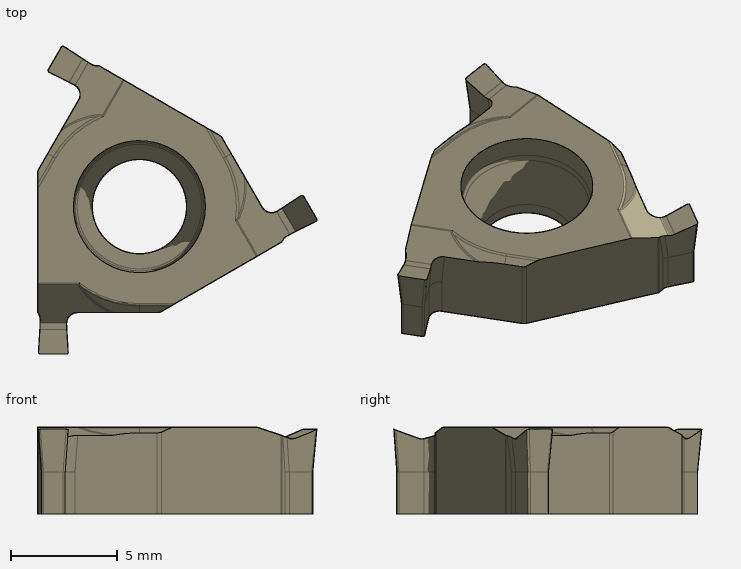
import cadquery as cq
import math

THICKNESS = 4.07
INDEX_COUNT = 3
INDEX_ANGLE = 360 / INDEX_COUNT
TOP_EDGE_ROUND = 0.2

SEAT_FLAT_DISTANCE = 9.525 / 2
FLANK_FLAT_DISTANCE = 4.957
BODY_CORNER_RADIUS = 0.4
SHOULDER_Y = -4.93
SHOULDER_ANGLE = 30
SHOULDER_LENGTH = 0.8
SHOULDER_CORNER_RADIUS = 0.1

TOOTH_LEFT = -4.73
TOOTH_RIGHT = -3.32
TOOTH_TIP_Y = -6.895
TOOTH_ROOT_Y = -4.5
TOOTH_TIP_Z = 3.97
RELIEF_HEIGHT = 2.0
RELIEF_BASE_Z = TOOTH_TIP_Z - RELIEF_HEIGHT
SIDE_RELIEF_ANGLE = 4
FRONT_RELIEF_ANGLE = 4
SIDE_TAPER_ANGLE = 2
TOOTH_CORNER_RADIUS = 0.1
TOOTH_ROOT_FILLET = 0.5

GROOVE_START_Y = -3.6
GROOVE_FALL_ANGLE = 16
GROOVE_RISE_ANGLE = 20
GROOVE_FILLET = 0.5
GROOVE_END_X = 2.0

WALL_RADIUS = 4.6
WALL_SLOPE_ANGLE = 37
WALL_DEPTH = 1.0

HOLE_RADIUS = 4.4 / 2
RECESS_RADIUS = 3.085
FLARE_BASE_Z = 0.57
FLARE_RADIUS = 3.83
FLARE_SWEEP_ANGLE = 37.5
SEAT_FILLET = 0.5

CLEARANCE = 1.0
EDGE_REACH = 0.25


def tan_deg(angle):
    return math.tan(math.radians(angle))


def polar(distance, angle):
    return (distance * math.cos(math.radians(angle)), distance * math.sin(math.radians(angle)))


def turned(point, angle):
    c, s = polar(1, angle)
    return (point[0] * c - point[1] * s, point[0] * s + point[1] * c)


def indexed(shape):
    """Copies of a shape at every index position around the Z axis."""
    return [shape.rotate((0, 0, 0), (0, 0, 1), i * INDEX_ANGLE) for i in range(INDEX_COUNT)]


def on_edge(x, y):
    """Selector for edges whose centre lies close to the vertical line at (x, y)."""
    return cq.selectors.BoxSelector(
        (x - EDGE_REACH, y - EDGE_REACH, -CLEARANCE),
        (x + EDGE_REACH, y + EDGE_REACH, THICKNESS + CLEARANCE),
    )


SHOULDER_START = (-SEAT_FLAT_DISTANCE, SHOULDER_Y)
SHOULDER_END = (
    SHOULDER_START[0] + SHOULDER_LENGTH * math.sin(math.radians(SHOULDER_ANGLE)),
    SHOULDER_START[1] - SHOULDER_LENGTH * math.cos(math.radians(SHOULDER_ANGLE)),
)
BODY_CORNER = (
    (SEAT_FLAT_DISTANCE - FLANK_FLAT_DISTANCE * math.cos(math.radians(30))) / math.cos(math.radians(60)),
    -FLANK_FLAT_DISTANCE,
)


def body():
    """Body slab with its tooth shoulders and rounded corners."""
    sector = [SHOULDER_START, SHOULDER_END, (SHOULDER_END[0], -FLANK_FLAT_DISTANCE), BODY_CORNER]
    outline = [turned(p, i * INDEX_ANGLE) for i in range(INDEX_COUNT) for p in sector]
    slab = cq.Workplane("XY").polyline(outline).close().extrude(THICKNESS)
    for i in range(INDEX_COUNT):
        corner = turned(BODY_CORNER, i * INDEX_ANGLE)
        shoulder = turned(SHOULDER_START, i * INDEX_ANGLE)
        slab = slab.edges("|Z").edges(on_edge(*corner)).fillet(BODY_CORNER_RADIUS)
        slab = slab.edges("|Z").edges(on_edge(*shoulder)).fillet(SHOULDER_CORNER_RADIUS)
    return slab


def tooth_outline(z):
    """Plan outline of the tooth at a height within the relief."""
    drop = TOOTH_TIP_Z - z
    side_inset = drop * tan_deg(SIDE_RELIEF_ANGLE)
    root_inset = side_inset + (TOOTH_ROOT_Y - TOOTH_TIP_Y) * tan_deg(SIDE_TAPER_ANGLE)
    tip_inset = side_inset + drop * tan_deg(FRONT_RELIEF_ANGLE) * tan_deg(SIDE_TAPER_ANGLE)
    tip_y = TOOTH_TIP_Y + drop * tan_deg(FRONT_RELIEF_ANGLE)
    return [
        (TOOTH_LEFT + root_inset, TOOTH_ROOT_Y),
        (TOOTH_LEFT + tip_inset, tip_y),
        (TOOTH_RIGHT - tip_inset, tip_y),
        (TOOTH_RIGHT - root_inset, TOOTH_ROOT_Y),
    ]


LEFT_ROOT = (-4.56, -5.24)
RIGHT_ROOT = (-3.5, -FLANK_FLAT_DISTANCE)


def tooth():
    """Tooth with straight lower sides, relieved upper sides and two rounded tip corners."""
    base_outline = tooth_outline(RELIEF_BASE_Z)
    lower = cq.Workplane("XY").polyline(base_outline).close().extrude(RELIEF_BASE_Z)
    upper = (
        lower.faces(">Z").workplane(origin=(0, 0, 0)).polyline(base_outline).close()
        .workplane(offset=THICKNESS - RELIEF_BASE_Z).polyline(tooth_outline(THICKNESS)).close()
        .loft(ruled=True, combine=False)
    )
    solid = lower.union(upper)
    for x in (TOOTH_LEFT, TOOTH_RIGHT):
        solid = solid.edges("not #Z").edges(on_edge(x, TOOTH_TIP_Y)).fillet(TOOTH_CORNER_RADIUS)
    return solid


def blank():
    """Body with three teeth, each blended into the body at both sides of its root."""
    part = body()
    for copy in indexed(tooth()):
        part = part.union(copy)
    for i in range(INDEX_COUNT):
        for root in (LEFT_ROOT, RIGHT_ROOT):
            root_edges = on_edge(*turned(root, i * INDEX_ANGLE))
            part = part.edges("not #Z").edges(root_edges).fillet(TOOTH_ROOT_FILLET)
    return part


WALL_FOOT = (-2.1, -4.4, 3.84)


def groove_wall():
    """Conical wall around the hole axis, continued by a straight ramp towards +X."""
    spread = WALL_DEPTH / tan_deg(WALL_SLOPE_ANGLE)
    profile = [
        (0, THICKNESS),
        (WALL_RADIUS, THICKNESS),
        (WALL_RADIUS + spread, THICKNESS - WALL_DEPTH),
        (0, THICKNESS - WALL_DEPTH),
    ]
    cone = cq.Workplane("XZ").polyline(profile).close().revolve(360, (0, 0), (0, 1))
    ramp = cq.Workplane("YZ").polyline([(-r, z) for r, z in profile]).close().extrude(GROOVE_END_X + CLEARANCE)
    return cone.union(ramp)


def chip_groove():
    """Tool for one chip groove: falling and rising flats with a rounded bottom, cut off at the wall."""
    fall, rise = tan_deg(GROOVE_FALL_ANGLE), tan_deg(GROOVE_RISE_ANGLE)
    bottom_y = (TOOTH_TIP_Z - THICKNESS + fall * GROOVE_START_Y + rise * TOOTH_TIP_Y) / (fall + rise)
    bottom_z = THICKNESS - fall * (GROOVE_START_Y - bottom_y)
    end_y = TOOTH_TIP_Y - CLEARANCE
    end_z = TOOTH_TIP_Z + rise * CLEARANCE
    profile = [
        (GROOVE_START_Y, THICKNESS),
        (bottom_y, bottom_z),
        (end_y, end_z),
        (end_y, THICKNESS + CLEARANCE),
        (GROOVE_START_Y, THICKNESS + CLEARANCE),
    ]
    start_x = -SEAT_FLAT_DISTANCE - CLEARANCE
    prism = (
        cq.Workplane("YZ").workplane(offset=start_x).polyline(profile).close()
        .extrude(GROOVE_END_X - start_x)
    )
    prism = prism.edges("|X").edges("<Z").fillet(GROOVE_FILLET)
    return prism.cut(groove_wall())


def screw_hole():
    """Tool for the hole: cylinder, trumpet-shaped flare and slightly conical recess."""
    def flare(angle):
        return (HOLE_RADIUS + FLARE_RADIUS - polar(FLARE_RADIUS, angle)[0],
                FLARE_BASE_Z + polar(FLARE_RADIUS, angle)[1])

    tool = (
        cq.Workplane("XZ").moveTo(0, 0).lineTo(HOLE_RADIUS, 0).lineTo(*flare(0))
        .threePointArc(flare(FLARE_SWEEP_ANGLE / 2), flare(FLARE_SWEEP_ANGLE))
        .lineTo(RECESS_RADIUS, THICKNESS).lineTo(0, THICKNESS).close()
        .revolve(360, (0, 0), (0, 1))
    )
    seat_z = flare(FLARE_SWEEP_ANGLE)[1]
    seat = cq.selectors.BoxSelector((-RECESS_RADIUS, -RECESS_RADIUS, seat_z - SEAT_FILLET),
                                    (RECESS_RADIUS, RECESS_RADIUS, seat_z + SEAT_FILLET))
    return tool.edges("%CIRCLE").edges(seat).fillet(SEAT_FILLET)


def blend_edges(part, guide_points):
    """Round, at every index position, the edges whose centres lie nearest to the guide points."""
    chosen = [
        part.edges(cq.selectors.NearestToPointSelector((*turned((x, y), i * INDEX_ANGLE), z))).val()
        for i in range(INDEX_COUNT) for x, y, z in guide_points
    ]
    return part.newObject(chosen).fillet(TOP_EDGE_ROUND)


def cut_grooves(part):
    """Cut the chip grooves, then blend their edges on the top face and along the foot of the wall."""
    for tool in indexed(chip_groove()):
        part = part.cut(tool)
    corner_x = -math.sqrt(WALL_RADIUS**2 - GROOVE_START_Y**2)
    arc_x = corner_x / 2
    groove_start = ((corner_x - SEAT_FLAT_DISTANCE) / 2, GROOVE_START_Y, THICKNESS)
    wall_arc = (arc_x, -math.sqrt(WALL_RADIUS**2 - arc_x**2), THICKNESS)
    ramp_edge = (BODY_CORNER[0], -WALL_RADIUS, THICKNESS)
    part = blend_edges(part, [groove_start, wall_arc, ramp_edge])
    return blend_edges(part, [WALL_FOOT])


result = cut_grooves(blank()).cut(screw_hole())